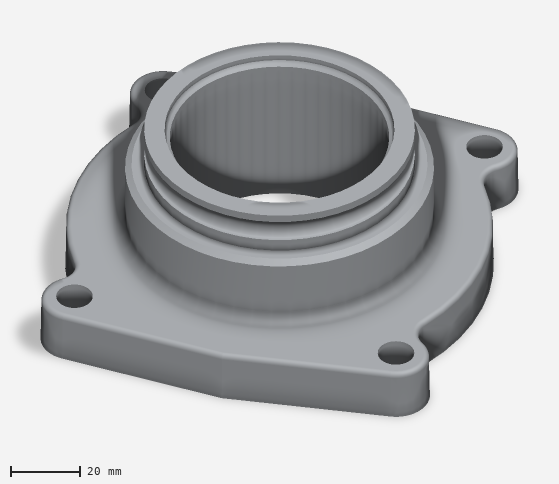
import cadquery as cq
import math

flange_height = 15.9
edge_apex_y = 63.0
flange_width = 124.1
side_radius = flange_width / 2
lug_offset = 48.2
lug_radius = 9.8
cove_radius = 6.3
flange_edge_round = 1.5
flange_draft = 1.0
bolt_hole_diameter = 10.6

body_radius = 44.7
body_top = 37.7
body_chamfer_width = 1.9
body_chamfer_height = 1.4
base_fillet = 3.4
neck_radius = 39.2
total_height = 50.8
groove_radius = 3.4
groove_center_z = 45.0

bore_radius = 31.7
mouth_radius = 33.3
mouth_depth = 1.8
mouth_cone_height = 1.3


def point_toward(start, end, distance):
    """Point at a distance from start along the line to end."""
    length = math.dist(start, end)
    return tuple(s + (e - s) * distance / length for s, e in zip(start, end))


def midpoint(first, second):
    return tuple((a + b) / 2 for a, b in zip(first, second))


def polar(center, radius, angle):
    return (center[0] + radius * math.cos(angle), center[1] + radius * math.sin(angle))


def quarter_flange():
    """Quarter of the plate in +X +Y: apex edge, lug, cove and bulging side, all tangent."""
    origin = (0, 0)
    lug = (lug_offset, lug_offset)
    apex = (0, edge_apex_y)

    apex_distance = math.dist(apex, lug)
    apex_angle = math.atan2(apex[1] - lug[1], apex[0] - lug[0])
    edge_angle = apex_angle - math.acos(lug_radius / apex_distance)
    edge_tangent = polar(lug, lug_radius, edge_angle)

    to_cove = side_radius + cove_radius
    lug_to_cove = lug_radius + cove_radius
    to_lug = math.hypot(*lug)
    cosine = (to_cove**2 + to_lug**2 - lug_to_cove**2) / (2 * to_cove * to_lug)
    cove = polar(origin, to_cove, math.pi / 4 - math.acos(cosine))

    lug_tangent = point_toward(lug, cove, lug_radius)
    side_tangent = point_toward(origin, cove, side_radius)
    side_angle = math.atan2(cove[1], cove[0])
    cove_middle = point_toward(cove, midpoint(lug_tangent, side_tangent), cove_radius)
    lug_end_angle = math.atan2(cove[1] - lug[1], cove[0] - lug[0])
    lug_middle = polar(lug, lug_radius, (edge_angle + lug_end_angle) / 2)

    return (
        cq.Workplane("XY")
        .lineTo(*apex)
        .lineTo(*edge_tangent)
        .threePointArc(lug_middle, lug_tangent)
        .threePointArc(cove_middle, side_tangent)
        .threePointArc(polar(origin, side_radius, side_angle / 2), (side_radius, 0))
        .close()
        .extrude(flange_height)
    )


def make_flange():
    """Mirror the quarter, then extrude its full outline with draft and round the top edge."""
    quarter = quarter_flange()
    half = quarter.union(quarter.mirror("YZ"))
    plate = half.union(half.mirror("XZ")).clean()
    outline = cq.Workplane("XY").add(plate.faces("<Z").wires().vals()).toPending()
    drafted = outline.extrude(flange_height, taper=flange_draft)
    return drafted.faces(">Z").edges().fillet(flange_edge_round)


def make_collar():
    """Stepped collar with a base fillet and a half-round groove near its top."""
    fillet_top = flange_height + base_fillet
    fillet_diagonal = base_fillet * (1 - math.sqrt(0.5))
    return (
        cq.Workplane("XZ")
        .lineTo(body_radius + base_fillet, 0)
        .lineTo(body_radius + base_fillet, flange_height)
        .threePointArc(
            (body_radius + fillet_diagonal, flange_height + fillet_diagonal),
            (body_radius, fillet_top),
        )
        .lineTo(body_radius, body_top - body_chamfer_height)
        .lineTo(body_radius - body_chamfer_width, body_top)
        .lineTo(neck_radius, body_top)
        .lineTo(neck_radius, groove_center_z - groove_radius)
        .threePointArc(
            (neck_radius - groove_radius, groove_center_z),
            (neck_radius, groove_center_z + groove_radius),
        )
        .lineTo(neck_radius, total_height)
        .lineTo(0, total_height)
        .close()
        .revolve(360, (0, 0, 0), (0, 1, 0))
    )


def make_bore():
    """Through bore whose wider mouth narrows to it over a short cone."""
    cone_top = total_height - mouth_depth
    return (
        cq.Workplane("XZ")
        .lineTo(bore_radius, 0)
        .lineTo(bore_radius, cone_top - mouth_cone_height)
        .lineTo(mouth_radius, cone_top)
        .lineTo(mouth_radius, total_height)
        .lineTo(0, total_height)
        .close()
        .revolve(360, (0, 0, 0), (0, 1, 0))
    )


def make_bolt_holes():
    spacing = 2 * lug_offset
    return (
        cq.Workplane("XY")
        .rect(spacing, spacing, forConstruction=True)
        .vertices()
        .circle(bolt_hole_diameter / 2)
        .extrude(flange_height)
    )


result = make_flange().union(make_collar()).cut(make_bore()).cut(make_bolt_holes())